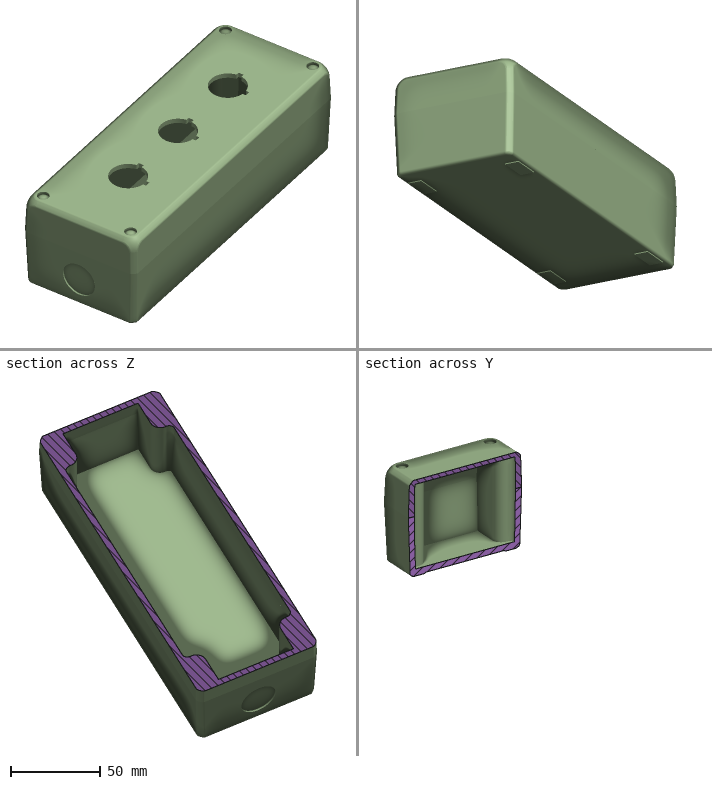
import cadquery as cq
import math

WIDTH = 76.0
LENGTH = 200.0
HEIGHT = 59.5
PARTING_Z = 37.2
FOOT_HEIGHT = 0.5
DRAFT_ANGLE = 2.0
WALL = 4.0
LID_THICKNESS = 3.0

CROWN_RADIUS = 9.5
CROWN_OFFSET = 1.5
CREASE_RADIUS = 1.8
BASE_EDGE_RADIUS = 1.8

BUTTON_DIAMETER = 22.5
BUTTON_PITCH = 50.0
BUTTON_COUNT = 3
KEY_WIDTH = 3.5
KEY_REACH = 13.2

SCREW_X = 29.5
SCREW_Y = 91.5
RECESS_DIAMETER = 7.2
RECESS_DEPTH = 1.8
HEAD_DIAMETER = 4.5
HEAD_RIM_RISE = 0.8
HEAD_DOME_RISE = 0.5

KNOCKOUT_DIAMETER = 21.5
KNOCKOUT_Z = 18.0
KNOCKOUT_DEPTH = 1.0

PILLAR_INNER_X = 23.5
PILLAR_INNER_Y = 74.2
PILLAR_ROUND = 6.0
PILLAR_ROOT_ROUND = 3.8

FOOT_INNER_X = 26.5
FOOT_OUTER_X = 35.0
FOOT_INNER_Y = 67.5
FOOT_OUTER_Y = 86.0

BASE_HEIGHT = PARTING_Z - FOOT_HEIGHT
LID_HEIGHT = HEIGHT - PARTING_Z
HEAD_TOP_DEPTH = RECESS_DEPTH - HEAD_RIM_RISE - HEAD_DOME_RISE
HEAD_DOME_RADIUS = ((HEAD_DIAMETER / 2) ** 2 + HEAD_DOME_RISE**2) / (2 * HEAD_DOME_RISE)
CORNER_SIGNS = [(sx, sy) for sx in (-1, 1) for sy in (-1, 1)]


def drafted_block(width, length, height):
    """Rectangular block on the parting plane; a negative height builds downward."""
    return (
        cq.Workplane("XY", origin=(0, 0, PARTING_Z))
        .rect(width, length)
        .extrude(height, taper=DRAFT_ANGLE)
    )


def envelope(height):
    """Drafted block standing CROWN_OFFSET outside the side walls."""
    return drafted_block(WIDTH + 2 * CROWN_OFFSET, LENGTH + 2 * CROWN_OFFSET, height)


def lid_blank():
    """Drafted block trimmed by a generously filleted envelope, which rounds its edges and corners."""
    trim = envelope(LID_HEIGHT + CROWN_OFFSET).edges("not <Z").fillet(CROWN_RADIUS)
    blank = drafted_block(WIDTH, LENGTH, LID_HEIGHT).intersect(trim)
    return blank.edges("not <Z").fillet(CREASE_RADIUS)


def button_opening():
    """Round opening with key slots on its +X and +Y sides."""
    opening = cq.Workplane("XY").circle(BUTTON_DIAMETER / 2).extrude(HEIGHT)
    key_x = cq.Workplane("XY").center(KEY_REACH / 2, 0).rect(KEY_REACH, KEY_WIDTH).extrude(HEIGHT)
    key_y = cq.Workplane("XY").center(0, KEY_REACH / 2).rect(KEY_WIDTH, KEY_REACH).extrude(HEIGHT)
    return opening.union(key_x).union(key_y)


def screw_recess():
    """Round recess whose bottom is a screw head: a sloping rim around a low dome."""
    profile = (
        cq.Workplane("XZ")
        .moveTo(0, HEIGHT)
        .lineTo(RECESS_DIAMETER / 2, HEIGHT)
        .lineTo(RECESS_DIAMETER / 2, HEIGHT - RECESS_DEPTH)
        .lineTo(HEAD_DIAMETER / 2, HEIGHT - RECESS_DEPTH + HEAD_RIM_RISE)
        .radiusArc((0, HEIGHT - HEAD_TOP_DEPTH), -HEAD_DOME_RADIUS)
        .close()
    )
    return profile.revolve(360, (0, 0, 0), (0, 1, 0))


def pillar(sx, sy):
    """Full-height corner block: convex inner corner, concave blend into the long side wall."""
    wall_x = WIDTH / 2 - WALL
    outline = (
        cq.Workplane("XY")
        .moveTo(PILLAR_INNER_X, LENGTH / 2)
        .lineTo(PILLAR_INNER_X, PILLAR_INNER_Y + PILLAR_ROUND)
        .radiusArc((PILLAR_INNER_X + PILLAR_ROUND, PILLAR_INNER_Y), -PILLAR_ROUND)
        .lineTo(wall_x - PILLAR_ROOT_ROUND, PILLAR_INNER_Y)
        .radiusArc((wall_x, PILLAR_INNER_Y - PILLAR_ROOT_ROUND), PILLAR_ROOT_ROUND)
        .lineTo(WIDTH / 2, PILLAR_INNER_Y - PILLAR_ROOT_ROUND)
        .lineTo(WIDTH / 2, LENGTH / 2)
        .close()
    )
    solid = outline.extrude(HEIGHT)
    if sx < 0:
        solid = solid.mirror("YZ")
    if sy < 0:
        solid = solid.mirror("XZ")
    return solid


def cavity(height):
    """Drafted hollow with the four corner pillars left standing."""
    hollow = drafted_block(WIDTH - 2 * WALL, LENGTH - 2 * WALL, height)
    for sx, sy in CORNER_SIGNS:
        hollow = hollow.cut(pillar(sx, sy))
    return hollow


def make_lid():
    lid = lid_blank().cut(cavity(LID_HEIGHT - LID_THICKNESS))
    for i in range(BUTTON_COUNT):
        y = (i - (BUTTON_COUNT - 1) / 2) * BUTTON_PITCH
        lid = lid.cut(button_opening().translate((0, y, 0)))
    for sx, sy in CORNER_SIGNS:
        lid = lid.cut(screw_recess().translate((sx * SCREW_X, sy * SCREW_Y, 0)))
    return lid


def base_blank():
    """Drafted block with the same crowned upright corners and a rounded bottom edge."""
    trim = envelope(-BASE_HEIGHT).edges("not (<Z or >Z)").fillet(CROWN_RADIUS)
    blank = drafted_block(WIDTH, LENGTH, -BASE_HEIGHT).intersect(trim)
    blank = blank.edges("not (<Z or >Z)").fillet(CREASE_RADIUS)
    return blank.faces("<Z").edges().fillet(BASE_EDGE_RADIUS)


def knockout():
    """Shallow disc-shaped recess sunk square to the drafted -Y end wall."""
    draft = math.radians(DRAFT_ANGLE)
    inset = (PARTING_Z - KNOCKOUT_Z) * math.tan(draft)
    inward = cq.Vector(0, math.cos(draft), math.sin(draft))
    centre = cq.Vector(0, inset - LENGTH / 2, KNOCKOUT_Z)
    plane = cq.Plane(origin=centre, xDir=cq.Vector(1, 0, 0), normal=inward)
    return cq.Workplane(plane).circle(KNOCKOUT_DIAMETER / 2).extrude(KNOCKOUT_DEPTH)


def foot(sx, sy):
    """Thin pad under one corner of the base."""
    size_x = FOOT_OUTER_X - FOOT_INNER_X
    size_y = FOOT_OUTER_Y - FOOT_INNER_Y
    centre = (sx * (FOOT_INNER_X + size_x / 2), sy * (FOOT_INNER_Y + size_y / 2))
    return cq.Workplane("XY").center(*centre).rect(size_x, size_y).extrude(FOOT_HEIGHT)


def make_base():
    base = base_blank().cut(cavity(-(BASE_HEIGHT - WALL))).cut(knockout())
    for sx, sy in CORNER_SIGNS:
        base = base.union(foot(sx, sy))
    return base


lid = make_lid()
base = make_base()
result = cq.Compound.makeCompound([base.val(), lid.val()])